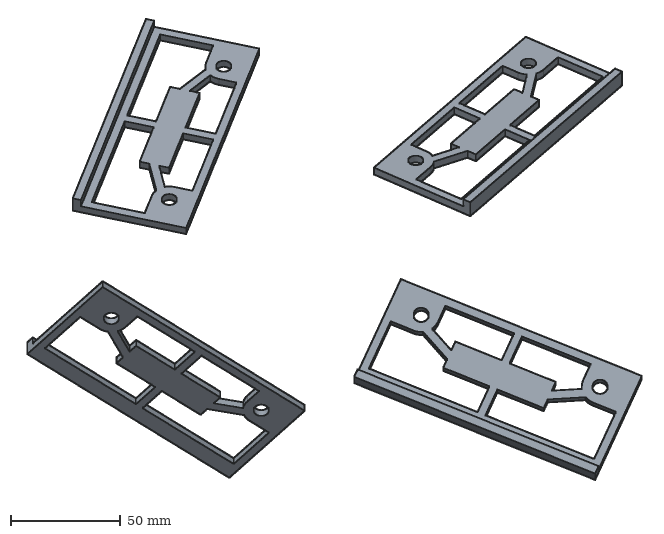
import cadquery as cq
import math

length = 120.0
width = 54.0
height = 8.0
plate_thickness = height / 2

rail = 4.0
window_left = 2 * rail
window_right = width - rail
window_width = window_right - window_left
window_length = length - 2 * rail

block_width = 14.0
block_length = 50.0
block_x = 28.7

hole_diameter = 7.0
hole_x = 41.5
hole_y = 44.5
boss_radius = 8.4

arm_width = 4.2
arm_angle = 27.0
arm_rise = hole_y - block_length / 2


def box(x_min, x_max, y_min, y_max, z_max=plate_thickness):
    """Box standing on the underside plane."""
    size_x = x_max - x_min
    size_y = y_max - y_min
    return cq.Workplane("XY").box(size_x, size_y, z_max, centered=False).translate((x_min, y_min, 0))


def make_frame():
    """Rectangular rim with a raised lip along its left side."""
    plate = box(0, width, -length / 2, length / 2)
    window = box(window_left, window_right, -window_length / 2, window_length / 2)
    lip = box(0, rail, -length / 2, length / 2, height)
    return plate.cut(window).union(lip)


def make_centre():
    """Block in the middle of the window, held by a bar across the frame."""
    block = box(
        block_x - block_width / 2, block_x + block_width / 2, -block_length / 2, block_length / 2
    )
    bar = box(window_left, window_right, -rail / 2, rail / 2)
    return block.union(bar)


def make_corner():
    """Corner pad at the +Y end, rounded about its screw hole on the inner corner."""
    boss = cq.Workplane("XY").center(hole_x, hole_y).circle(boss_radius).extrude(plate_thickness)
    end_pad = box(hole_x - boss_radius, width, hole_y, length / 2)
    side_pad = box(hole_x, width, hole_y - boss_radius, length / 2)
    return boss.union(end_pad).union(side_pad)


def make_arm():
    """Slanted arm from the end of the block into the +Y boss, up to the level of its hole."""
    block_end = block_length / 2
    half_span = arm_width / math.cos(math.radians(arm_angle)) / 2
    arm_run = arm_rise * math.tan(math.radians(arm_angle))
    outline = [
        (block_x - half_span, block_end),
        (block_x + half_span, block_end),
        (block_x + half_span + arm_run, block_end + arm_rise),
        (block_x - half_span + arm_run, block_end + arm_rise),
    ]
    return cq.Workplane("XY").polyline(outline).close().extrude(plate_thickness)


upper_end = make_corner().union(make_arm())
lower_end = upper_end.mirror("XZ")
screw_holes = (
    cq.Workplane("XY")
    .pushPoints([(hole_x, hole_y), (hole_x, -hole_y)])
    .circle(hole_diameter / 2)
    .extrude(plate_thickness)
)

result = make_frame().union(make_centre()).union(upper_end).union(lower_end).cut(screw_holes)